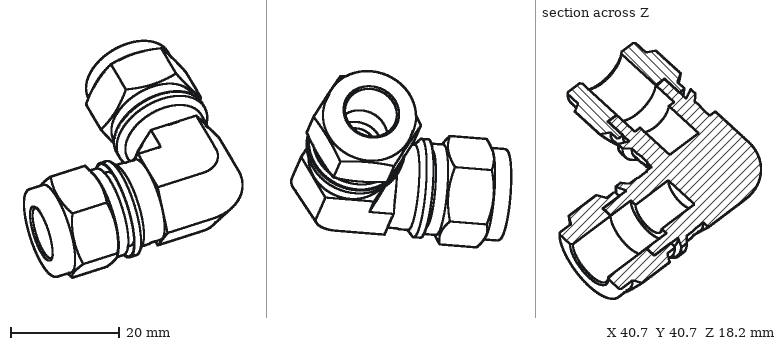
import cadquery as cq
import math

overall_length = 40.7
nut_across_flats = 17.5
nut_corner_radius = nut_across_flats / math.sqrt(3)
reach = overall_length - nut_corner_radius

flange_diameter = 18.25
block_corner_radius = flange_diameter / 2
block_inner_radius = block_corner_radius * math.cos(math.pi / 6)
block_end = block_corner_radius

flange_start = 14.8
flange_width = 1.3
rim_width = 0.2
dish_depth = 0.85
cone_end = 17.25
collar_end = 18.95
collar_step_end = 19.35
collar_diameter = 15.8
shank_diameter = 15.55
stub_diameter = 14.28

nut_length = 14.0
hex_start = 3.15
hex_end = 11.95
front_diameter = 17.0
front_fillet = 0.5
rear_diameter = 16.8
rear_fillet = 0.33
chamfer_slope = math.tan(math.pi / 6)

tube_diameter = 9.72
mouth_diameter = 10.45
mouth_chamfer = (mouth_diameter - tube_diameter) / 2
bore_diameter = 7.1
socket_depth = flange_start
bore_depth = 8.15
stub_start = 9.75


def turned(points):
    """Revolve (radius, height) points about the Z axis."""
    return cq.Workplane("XZ").polyline(points).close().revolve(360, (0, 0, 0), (0, 1, 0))


def place_on_arm(body, arm_angle):
    """Move a body from the Z axis, facing +Z, onto the -X arm (0) or the -Y arm (90)."""
    return body.rotate((0, 0, 0), (0, 1, 0), -90).rotate((0, 0, 0), (0, 0, 1), arm_angle)


def block_leg(outer_side):
    """Leg from the bend to its end on -X; outer_side is the Y sign of the bend's outside."""
    flat_half = block_corner_radius / 2
    tangent_y = -outer_side * block_inner_radius * math.cos(math.pi / 6)
    tangent_z = block_inner_radius / 2
    return (
        cq.Workplane("YZ")
        .moveTo(outer_side * block_corner_radius, 0)
        .lineTo(outer_side * flat_half, block_inner_radius)
        .lineTo(-outer_side * flat_half, block_inner_radius)
        .lineTo(tangent_y, tangent_z)
        .threePointArc((-outer_side * block_inner_radius, 0), (tangent_y, -tangent_z))
        .lineTo(-outer_side * flat_half, -block_inner_radius)
        .lineTo(outer_side * flat_half, -block_inner_radius)
        .close()
        .extrude(-block_end)
    )


def bend():
    """Outer quarter of the bend: half the hexagon turned about the Z axis."""
    return (
        cq.Workplane("XZ")
        .polyline([
            (0, -block_inner_radius),
            (block_corner_radius / 2, -block_inner_radius),
            (block_corner_radius, 0),
            (block_corner_radius / 2, block_inner_radius),
            (0, block_inner_radius),
        ])
        .close()
        .revolve(90, (0, 0, 0), (0, 1, 0))
    )


def elbow_end():
    """Stub, flange and shank, turned about the Z axis."""
    return turned([
        (0, block_end),
        (shank_diameter / 2, block_end),
        (shank_diameter / 2, reach - collar_step_end),
        (collar_diameter / 2, reach - collar_end),
        (collar_diameter / 2, reach - cone_end),
        (flange_diameter / 2, reach - flange_start - flange_width),
        (flange_diameter / 2, reach - flange_start),
        (flange_diameter / 2 - rim_width, reach - flange_start),
        (stub_diameter / 2, reach - flange_start - dish_depth),
        (stub_diameter / 2, reach - stub_start),
        (0, reach - stub_start),
    ])


def make_elbow():
    elbow = block_leg(1).union(block_leg(-1).rotate((0, 0, 0), (0, 0, 1), 90)).union(bend())
    for arm_angle in (0, 90):
        elbow = elbow.union(place_on_arm(elbow_end(), arm_angle))
    shoulder = reach - socket_depth
    bore = turned([
        (0, shoulder - bore_depth),
        (bore_diameter / 2, shoulder - bore_depth),
        (bore_diameter / 2, shoulder),
        (tube_diameter / 2, shoulder),
        (tube_diameter / 2, reach - stub_start),
        (0, reach - stub_start),
    ])
    for arm_angle in (0, 90):
        elbow = elbow.cut(place_on_arm(bore, arm_angle))
    return elbow


def chamfered_hexagon():
    """Nut hexagon with both ends turned to 30 degree cones; two corners lie on Y."""
    bottom = reach - hex_end
    top = reach - hex_start
    bottom_radius = rear_diameter / 2
    top_radius = front_diameter / 2
    envelope = turned([
        (0, bottom),
        (bottom_radius, bottom),
        (nut_corner_radius, bottom + (nut_corner_radius - bottom_radius) * chamfer_slope),
        (nut_corner_radius, top - (nut_corner_radius - top_radius) * chamfer_slope),
        (top_radius, top),
        (0, top),
    ])
    hexagon = (
        cq.Workplane("XY")
        .workplane(offset=bottom)
        .polygon(6, 2 * nut_corner_radius)
        .extrude(top - bottom)
        .rotate((0, 0, 0), (0, 0, 1), 90)
    )
    return hexagon.intersect(envelope)


def make_nut():
    front = (
        cq.Workplane("XY")
        .workplane(offset=reach - hex_start)
        .circle(front_diameter / 2)
        .extrude(hex_start)
        .faces(">Z")
        .edges()
        .fillet(front_fillet)
    )
    rear = (
        cq.Workplane("XY")
        .workplane(offset=reach - nut_length)
        .circle(rear_diameter / 2)
        .extrude(nut_length - hex_end)
    )
    rear = rear.faces("<Z").edges().fillet(rear_fillet)
    cavity = turned([
        (0, reach - nut_length),
        (stub_diameter / 2, reach - nut_length),
        (stub_diameter / 2, reach - stub_start),
        (tube_diameter / 2, reach - stub_start),
        (tube_diameter / 2, reach - mouth_chamfer),
        (mouth_diameter / 2, reach),
        (0, reach),
    ])
    return chamfered_hexagon().union(front).union(rear).cut(cavity)


elbow = make_elbow()
nuts = [place_on_arm(make_nut(), arm_angle) for arm_angle in (0, 90)]

result = cq.Compound.makeCompound([elbow.val(), *[nut.val() for nut in nuts]])